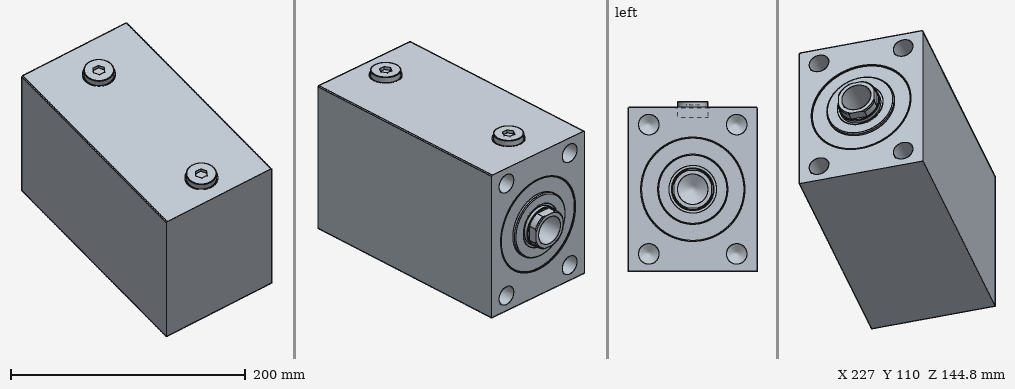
import cadquery as cq
import math

TOTAL_LENGTH = 227.0
HOUSING_LENGTH = 213.0
HOUSING_WIDTH = 110.0
HOUSING_HEIGHT = 140.0
TOP_EDGE_CHAMFER = 1.0
FRONT_FACE_X = TOTAL_LENGTH - HOUSING_LENGTH
TOP_Z = HOUSING_HEIGHT / 2

MOUNT_HOLE_DIAMETER = 17.5
MOUNT_HOLE_DEPTH = 34.0
MOUNT_SPACING_Y = 75.0
MOUNT_SPACING_Z = 110.0
DRILL_POINT_ANGLE = 118.0

GLAND_DIAMETER = 87.2
GLAND_DEPTH = 45.5
SEAT_CHAMFER = 1.0
COLLAR_DIAMETER = 60.0
COLLAR_HEIGHT = 3.0
COLLAR_CHAMFER = 1.0
WIPER_RECESS_DIAMETER = 40.6
WIPER_RECESS_DEPTH = 1.1

ROD_DIAMETER = 36.3
ROD_CHAMFER = 0.7
SHANK_DIAMETER = 34.7
SHANK_LENGTH = 8.2
SHANK_CHAMFER = 1.0
ACROSS_FLATS = 31.8
ROD_BORE_DIAMETER = 25.9
ROD_BORE_DEPTH = 34.0
ROD_END_X = FRONT_FACE_X + GLAND_DEPTH

PLUG_DIAMETER = 25.9
PLUG_PROTRUSION = 4.8
PLUG_SEAT_DEPTH = 9.0
PLUG_CHAMFER = 0.5
SPOT_FACE_DIAMETER = 28.1
SPOT_FACE_DEPTH = 1.0
HEX_SIDES = 6
HEX_ACROSS_FLATS = 9.5
HEX_DEPTH = 3.0
FIRST_PLUG_X = 50.2
PLUG_SPACING = 150.7
PLUG_POSITIONS_X = [FIRST_PLUG_X, FIRST_PLUG_X + PLUG_SPACING]


def x_cylinder(diameter, start_x, end_x):
    """Cylinder on the rod axis between two X positions."""
    return cq.Workplane("YZ", origin=(start_x, 0, 0)).circle(diameter / 2).extrude(end_x - start_x)


def z_cylinder(diameter, x, bottom_z, top_z):
    """Upright cylinder centred at the given X on the top centreline."""
    return cq.Workplane("XY", origin=(x, 0, bottom_z)).circle(diameter / 2).extrude(top_z - bottom_z)


def drilled_hole(diameter, depth, start_x, y=0.0, z=0.0):
    """Cutter for a blind hole along +X that ends in a drill point."""
    radius = diameter / 2
    point_length = radius / math.tan(math.radians(DRILL_POINT_ANGLE / 2))
    profile = [(0, 0), (depth + point_length, 0), (depth, radius), (0, radius)]
    cutter = cq.Workplane("XY").polyline(profile).close().revolve(360, (0, 0, 0), (1, 0, 0))
    return cutter.translate((start_x, y, z))


def make_housing():
    housing = (
        cq.Workplane("XY")
        .box(HOUSING_LENGTH, HOUSING_WIDTH, HOUSING_HEIGHT)
        .translate((FRONT_FACE_X + HOUSING_LENGTH / 2, 0, 0))
        .edges("|X and >Z")
        .chamfer(TOP_EDGE_CHAMFER)
    )

    housing = housing.cut(x_cylinder(GLAND_DIAMETER, FRONT_FACE_X, FRONT_FACE_X + GLAND_DEPTH))
    housing = housing.faces("<X").edges("%CIRCLE").chamfer(SEAT_CHAMFER)

    for y in (-MOUNT_SPACING_Y / 2, MOUNT_SPACING_Y / 2):
        for z in (-MOUNT_SPACING_Z / 2, MOUNT_SPACING_Z / 2):
            housing = housing.cut(drilled_hole(MOUNT_HOLE_DIAMETER, MOUNT_HOLE_DEPTH, FRONT_FACE_X, y, z))

    for x in PLUG_POSITIONS_X:
        housing = housing.cut(z_cylinder(PLUG_DIAMETER, x, TOP_Z - PLUG_SEAT_DEPTH, TOP_Z))
        housing = housing.cut(z_cylinder(SPOT_FACE_DIAMETER, x, TOP_Z - SPOT_FACE_DEPTH, TOP_Z))
    return housing


def make_gland():
    collar_face_x = FRONT_FACE_X - COLLAR_HEIGHT
    collar = x_cylinder(COLLAR_DIAMETER, collar_face_x, FRONT_FACE_X).faces("<X").chamfer(COLLAR_CHAMFER)
    gland = x_cylinder(GLAND_DIAMETER, FRONT_FACE_X, FRONT_FACE_X + GLAND_DEPTH).union(collar)
    gland = gland.cut(x_cylinder(ROD_DIAMETER, collar_face_x, ROD_END_X))
    return gland.cut(x_cylinder(WIPER_RECESS_DIAMETER, collar_face_x, collar_face_x + WIPER_RECESS_DEPTH))


def make_rod():
    rod = x_cylinder(ROD_DIAMETER, SHANK_LENGTH, ROD_END_X).faces("<X").chamfer(ROD_CHAMFER)

    shank = x_cylinder(SHANK_DIAMETER, 0, SHANK_LENGTH).faces("<X").chamfer(SHANK_CHAMFER)
    flats = cq.Workplane("YZ").rect(ACROSS_FLATS, ACROSS_FLATS).extrude(SHANK_LENGTH)
    rod = rod.union(shank.intersect(flats))

    return rod.cut(drilled_hole(ROD_BORE_DIAMETER, ROD_BORE_DEPTH, 0))


def make_plug(x):
    plug_top_z = TOP_Z + PLUG_PROTRUSION
    plug = z_cylinder(PLUG_DIAMETER, x, TOP_Z - PLUG_SEAT_DEPTH, plug_top_z)
    plug = plug.faces(">Z").chamfer(PLUG_CHAMFER)

    across_corners = HEX_ACROSS_FLATS / math.cos(math.pi / HEX_SIDES)
    socket = (
        cq.Workplane("XY")
        .polygon(HEX_SIDES, across_corners)
        .extrude(HEX_DEPTH)
        .rotate((0, 0, 0), (0, 0, 1), 90)
        .translate((x, 0, plug_top_z - HEX_DEPTH))
    )
    return plug.cut(socket)


housing = make_housing()
gland = make_gland()
rod = make_rod()
plugs = [make_plug(x) for x in PLUG_POSITIONS_X]

result = cq.Compound.makeCompound(
    [housing.val(), gland.val(), rod.val(), *[plug.val() for plug in plugs]]
)